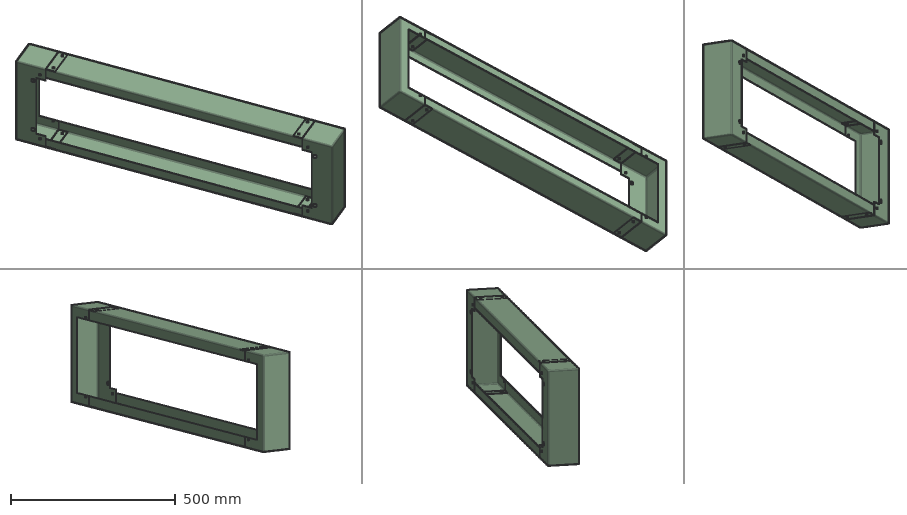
import cadquery as cq

length = 1050.0
depth = 100.0
height = 300.0

sheet = 2.0
bend_radius = 3.6

end_length = 100.0
front_post_width = 68.0
front_lobe_height = 44.0
rail_flange_height = 34.0
rear_post_width = 35.0

bolt_diameter = 6.5
bolt_from_end = 81.0
bolt_from_edge = 28.0
anchor_diameter = 12.0
anchor_from_end = 58.0
anchor_from_edge = 57.0
splice_hole_from_end = 119.0
splice_hole_from_face = 17.0

splice_end = 130.0
splice_length = splice_end - end_length

half_length = length / 2
half_height = height / 2
rail_length = length - 2 * end_length
inner_radius = bend_radius - sheet

directions = (-1, 1)


def folded_shell():
    """Closed sheet-metal box with bent edges, from which housings and rails are cut."""
    outer = cq.Workplane().box(length, depth, height).edges().fillet(bend_radius)
    cavity = cq.Workplane().box(length - 2 * sheet, depth - 2 * sheet, height - 2 * sheet)
    return outer.cut(cavity.edges().fillet(inner_radius))


def y_holes(places, diameter, y_start, y_length):
    """Round cutters along Y at the given (x, z) places."""
    plane = cq.Workplane("XZ", origin=(0, y_start, 0))
    return plane.pushPoints(places).circle(diameter / 2).extrude(-y_length)


def splice_holes(side):
    """Vertical screw holes through the rails and splice plates next to one end."""
    x = side * (half_length - splice_hole_from_end)
    y = depth / 2 - splice_hole_from_face
    holes = cq.Workplane().pushPoints([(x, -y), (x, y)]).circle(bolt_diameter / 2)
    return holes.extrude(height, both=True)


def opened_shell():
    """Folded shell with the stepped front opening and the plain rear opening cut out."""
    rail_opening_height = height - 2 * rail_flange_height
    lobe_opening_height = height - 2 * front_lobe_height
    post_opening = cq.Workplane().box(length - 2 * front_post_width, depth, lobe_opening_height)
    rail_opening = cq.Workplane().box(rail_length, depth, rail_opening_height)
    rear_opening = cq.Workplane().box(length - 2 * rear_post_width, depth, rail_opening_height)
    return (
        folded_shell()
        .cut(post_opening.translate((0, -depth / 2, 0)))
        .cut(rail_opening.translate((0, -depth / 2, 0)))
        .cut(rear_opening.translate((0, depth / 2, 0)))
    )


def end_housing(shell, side):
    """Box-shaped end: outer wall, top, bottom and front and rear flanges."""
    x_middle = side * (half_length - end_length / 2)
    region = cq.Workplane().box(end_length, 2 * depth, 2 * height).translate((x_middle, 0, 0))
    bolt_x = side * (half_length - bolt_from_end)
    bolt_z = half_height - bolt_from_edge
    anchor_x = side * (half_length - anchor_from_end)
    anchor_z = half_height - anchor_from_edge
    bolts = [(bolt_x, -bolt_z), (bolt_x, bolt_z)]
    anchors = [(anchor_x, -anchor_z), (anchor_x, anchor_z)]
    return (
        shell.intersect(region)
        .cut(y_holes(bolts, bolt_diameter, -depth, 2 * depth))
        .cut(y_holes(anchors, anchor_diameter, -depth, depth))
    )


def rail(shell, level):
    """Channel-shaped top or bottom rail between the end housings."""
    region = cq.Workplane().box(rail_length, 2 * depth, height)
    channel = shell.intersect(region.translate((0, 0, level * half_height)))
    for side in directions:
        channel = channel.cut(splice_holes(side))
    return channel


def splice_plate(side, level):
    """Flat plate lying on the inside of a rail, next to the joint with a housing."""
    x_middle = side * (half_length - end_length - splice_length / 2)
    z_middle = level * (half_height - sheet - sheet / 2)
    plate = cq.Workplane().box(splice_length, depth - 2 * bend_radius, sheet)
    return plate.translate((x_middle, 0, z_middle)).cut(splice_holes(side))


frame_shell = opened_shell()
housings = [end_housing(frame_shell, side).solids().val() for side in directions]
rails = [rail(frame_shell, level).solids().val() for level in directions]
splice_plates = [
    splice_plate(side, level).solids().val() for side in directions for level in directions
]

result = cq.Compound.makeCompound([*housings, *rails, *splice_plates])